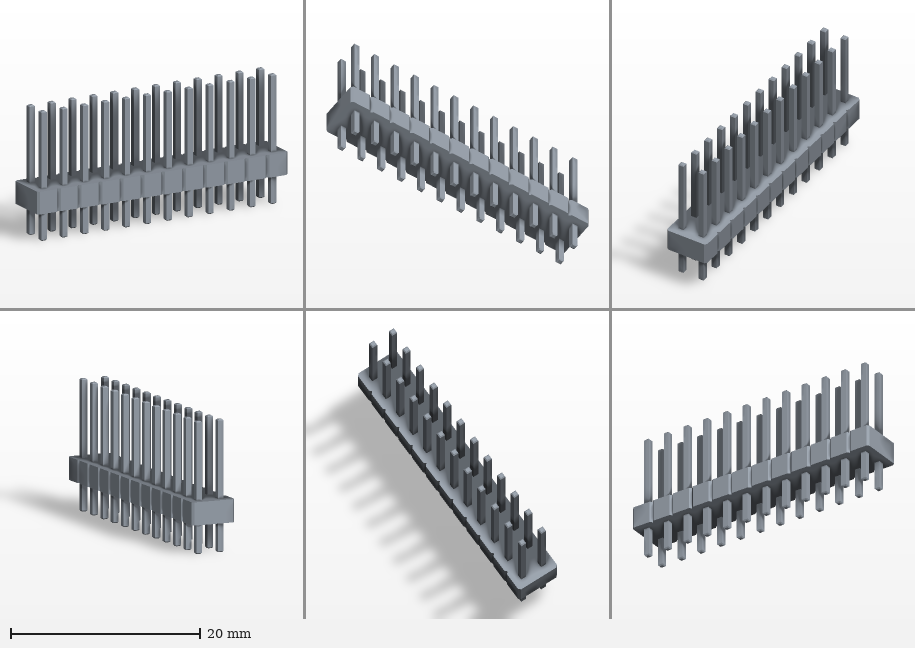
import cadquery as cq


positions = 12
body_length = 30.48
pitch = body_length / positions
body_width = 5.0
body_height = 2.5
corner_chamfer = 0.25

rows = 2
pin_size = 0.65
pin_height = 14.3
pin_drop = 3.3
tip_chamfer = 0.12


def make_cell(y):
    """One chamfered body segment; neighbouring chamfers form the side notches."""
    return (
        cq.Workplane("XY")
        .center(0, y)
        .rect(body_width, pitch)
        .extrude(body_height)
        .edges("|Z")
        .chamfer(corner_chamfer)
    )


def make_pin(x, y):
    """One square pin with all four edges chamfered at both ends."""
    return (
        cq.Workplane("XY", origin=(x, y, -pin_drop))
        .rect(pin_size, pin_size)
        .extrude(pin_height)
        .faces("<Z or >Z")
        .chamfer(tip_chamfer)
    )


row_places = [(i - (rows - 1) / 2) * pitch for i in range(rows)]
position_places = [(i - (positions - 1) / 2) * pitch for i in range(positions)]

body = make_cell(position_places[0])
for y in position_places[1:]:
    body = body.union(make_cell(y))
body = body.clean()

result = body
for y in position_places:
    for x in row_places:
        result = result.union(make_pin(x, y))